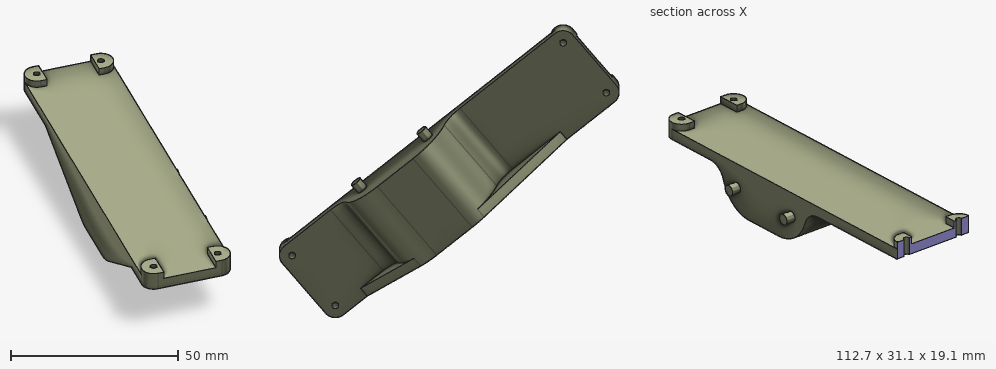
import math
import cadquery as cq

total_width = 31.11
total_height = 19.05

plate_length = 112.74
plate_width = 27.94
plate_thickness = 3.43
corner_radius = 3.81

pad_top = 5.715
pad_width = 5.715
screw_hole_diameter = 2.0
hole_spacing_x = plate_length - 2 * corner_radius
hole_spacing_y = plate_width - 2 * corner_radius

keel_depth = total_height - pad_top
keel_center_x = 9.45
keel_center_spacing = 13.8
keel_radius = 12.7
body_fillet_radius = 6.35
wall_thickness = 3.175
wall_foot_left_x = -34.1
wall_foot_right_x = 43.3

peg_diameter = 3.4
peg_length = total_width - plate_width
peg_spacing = 25.4
peg_height = 8.8

front_y = -plate_width / 2
back_y = plate_width / 2
left_round_x = keel_center_x - keel_center_spacing / 2
right_round_x = keel_center_x + keel_center_spacing / 2
round_z = keel_radius - keel_depth
front_plane = cq.Plane(origin=(0, front_y, 0), xDir=(1, 0, 0), normal=(0, -1, 0))


def keel_round_point(side, angle):
    """Point on the left (-1) or right (+1) keel round, at an angle from straight down."""
    center_x = left_round_x if side < 0 else right_round_x
    return (
        center_x + side * keel_radius * math.sin(angle),
        round_z - keel_radius * math.cos(angle),
    )


def wall_slope_angle(side):
    """Steepness of the wall edge that runs from its foot tangent to the keel round."""
    if side < 0:
        foot_to_center = left_round_x - wall_foot_left_x
    else:
        foot_to_center = wall_foot_right_x - right_round_x
    center_distance = math.hypot(foot_to_center, round_z)
    return math.asin(keel_radius / center_distance) + math.atan2(-round_z, foot_to_center)


def make_pad_footprint(side_x, side_y):
    """Corner block of pad height, rounded where it meets the plate's long edge, square at the corner."""
    corner_x = side_x * plate_length / 2
    corner_y = side_y * plate_width / 2
    hole_x = side_x * hole_spacing_x / 2
    hole_y = side_y * hole_spacing_y / 2
    inner_x = hole_x - side_x * corner_radius
    inner_y = corner_y - side_y * pad_width
    arc_reach = corner_radius * math.sqrt(0.5)
    arc_middle = (hole_x - side_x * arc_reach, hole_y + side_y * arc_reach)
    return (
        cq.Workplane("XY")
        .moveTo(corner_x, corner_y)
        .lineTo(hole_x, corner_y)
        .threePointArc(arc_middle, (inner_x, hole_y))
        .lineTo(inner_x, inner_y)
        .lineTo(corner_x, inner_y)
        .close()
        .extrude(pad_top)
    )


def make_plate():
    """Rounded slab of full pad height, lowered to the plate thickness everywhere but at the pads."""
    slab = (
        cq.Workplane("XY")
        .rect(plate_length, plate_width)
        .extrude(pad_top)
        .edges("|Z")
        .fillet(corner_radius)
    )
    recess = (
        cq.Workplane("XY", origin=(0, 0, plate_thickness))
        .rect(plate_length, plate_width)
        .extrude(pad_top - plate_thickness)
    )
    for side_x in (-1, 1):
        for side_y in (-1, 1):
            recess = recess.cut(make_pad_footprint(side_x, side_y))
    return slab.cut(recess)


def make_wall():
    left_angle = wall_slope_angle(-1)
    right_angle = wall_slope_angle(1)
    return (
        cq.Workplane(front_plane)
        .moveTo(wall_foot_left_x, 0)
        .lineTo(*keel_round_point(-1, left_angle))
        .threePointArc(keel_round_point(-1, left_angle / 2), keel_round_point(-1, 0))
        .lineTo(*keel_round_point(1, 0))
        .threePointArc(keel_round_point(1, right_angle / 2), keel_round_point(1, right_angle))
        .lineTo(wall_foot_right_x, 0)
        .close()
        .extrude(-wall_thickness)
    )


def make_body():
    """Trough-shaped body: convex keel rounds blending through concave fillets into the plate."""
    radius_sum = keel_radius + body_fillet_radius
    joint_angle = math.acos((round_z + body_fillet_radius) / radius_sum)
    fillet_offset = radius_sum * math.sin(joint_angle)

    def fillet_point(side, angle):
        center_x = left_round_x if side < 0 else right_round_x
        return (
            center_x + side * (fillet_offset - body_fillet_radius * math.sin(angle)),
            -body_fillet_radius + body_fillet_radius * math.cos(angle),
        )

    return (
        cq.Workplane(front_plane)
        .moveTo(*fillet_point(-1, 0))
        .threePointArc(fillet_point(-1, joint_angle / 2), fillet_point(-1, joint_angle))
        .threePointArc(keel_round_point(-1, joint_angle / 2), keel_round_point(-1, 0))
        .lineTo(*keel_round_point(1, 0))
        .threePointArc(keel_round_point(1, joint_angle / 2), keel_round_point(1, joint_angle))
        .threePointArc(fillet_point(1, joint_angle / 2), fillet_point(1, 0))
        .close()
        .extrude(-plate_width)
    )


def make_pegs():
    peg_z = peg_height - keel_depth
    back_plane = cq.Plane(origin=(keel_center_x, back_y, peg_z), xDir=(0, 0, 1), normal=(0, 1, 0))
    return (
        cq.Workplane(back_plane)
        .pushPoints([(0, -peg_spacing / 2), (0, peg_spacing / 2)])
        .circle(peg_diameter / 2)
        .extrude(peg_length)
    )


def make_screw_holes():
    return (
        cq.Workplane("XY")
        .rect(hole_spacing_x, hole_spacing_y, forConstruction=True)
        .vertices()
        .circle(screw_hole_diameter / 2)
        .extrude(pad_top)
    )


result = make_plate()
for solid in (make_wall(), make_body(), make_pegs()):
    result = result.union(solid)
result = result.cut(make_screw_holes()).clean()